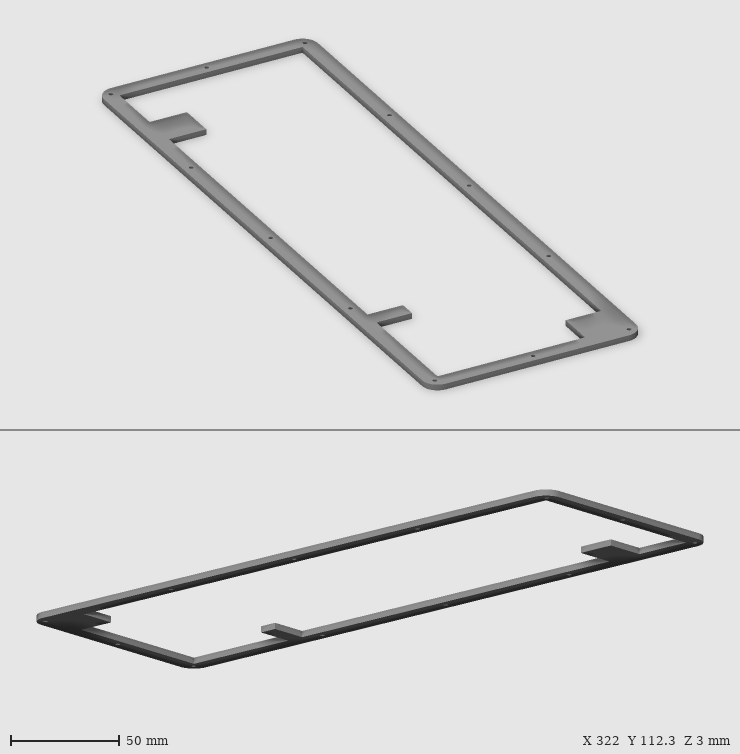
import cadquery as cq

length = 322.0
width = 112.3
thickness = 3.0
rail_width = 8.0
corner_radius = 8.0

wide_tab_left = -124.0
wide_tab_width = 18.7
wide_tab_height = 19.5
narrow_tab_left = 85.5
narrow_tab_width = 8.7
narrow_tab_height = 18.7

pad_size = 18.7

hole_diameter = 2.2
corner_hole_inset = 5.0
rail_hole_inset = rail_width / 2
rail_hole_spacing = 76.5

inner_right = length / 2 - rail_width
inner_back = width / 2 - rail_width
inner_front = -inner_back


def block(left, front, size_x, size_y):
    """Plate-thick rectangular block placed by its left front corner."""
    return cq.Workplane("XY").box(size_x, size_y, thickness, centered=False).translate((left, front, 0))


def make_frame():
    outer = block(-length / 2, -width / 2, length, width).edges("|Z").fillet(corner_radius)
    opening = block(-inner_right, inner_front, 2 * inner_right, 2 * inner_back)
    return outer.cut(opening)


def front_tab(left, tab_width, tab_height):
    """Tab rooted in the full width of the front rail."""
    return block(left, -width / 2, tab_width, rail_width + tab_height)


def hole_points():
    corner_x = length / 2 - corner_hole_inset
    corner_y = width / 2 - corner_hole_inset
    rail_x = length / 2 - rail_hole_inset
    rail_y = width / 2 - rail_hole_inset
    points = [(-rail_x, 0), (rail_x, 0)]
    for side in (-1, 1):
        points += [(-corner_x, side * corner_y), (corner_x, side * corner_y)]
        points += [(step * rail_hole_spacing, side * rail_y) for step in (-1, 0, 1)]
    return points


frame = make_frame()
frame = frame.union(front_tab(wide_tab_left, wide_tab_width, wide_tab_height))
frame = frame.union(front_tab(narrow_tab_left, narrow_tab_width, narrow_tab_height))
frame = frame.union(block(inner_right - pad_size, inner_back - pad_size, pad_size, pad_size))

holes = cq.Workplane("XY").pushPoints(hole_points()).circle(hole_diameter / 2).extrude(thickness)
result = frame.cut(holes)